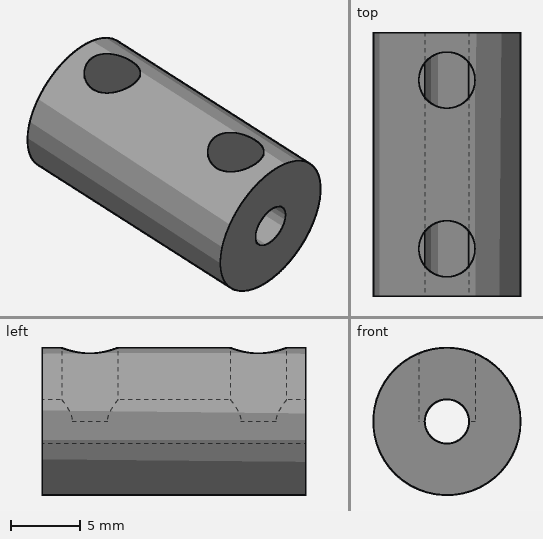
import cadquery as cq

length = 19.05
outer_diameter = 10.67
bore_diameter = 3.18

screw_hole_diameter = 4.05
screw_hole_spacing = 12.2
screw_hole_floor = 0.0


def cylinder_along_y(diameter):
    """Full-length cylinder on the Y axis."""
    return cq.Workplane("XZ").circle(diameter / 2).extrude(length / 2, both=True)


def screw_holes():
    """Pair of vertical cutters placed symmetrically along the length."""
    return (
        cq.Workplane("XY", origin=(0, 0, screw_hole_floor))
        .rarray(0.2, screw_hole_spacing, 1, 2)
        .circle(screw_hole_diameter / 2)
        .extrude(outer_diameter / 2 - screw_hole_floor)
    )


body = cylinder_along_y(outer_diameter)
bore = cylinder_along_y(bore_diameter)
result = body.cut(bore).cut(screw_holes())